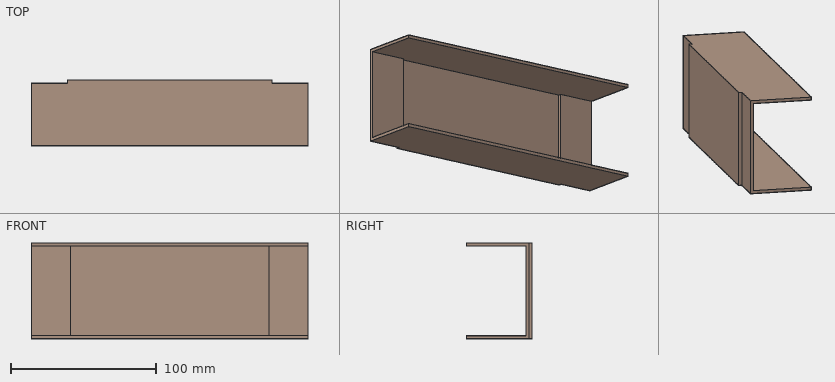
import cadquery as cq

length = 190.0
height = 65.9
overall_depth = 45.2
wall = 2.2
recess_length = 136.0

panel_length = recess_length + 2 * wall
channel_depth = overall_depth - wall
clear_height = height - 2 * wall


def block(size_x, size_z, y_start, y_end):
    """Box centred on X and Z, spanning y_start to y_end."""
    return (
        cq.Workplane("XY")
        .box(size_x, y_end - y_start, size_z, centered=(True, False, True))
        .translate((0, y_start, 0))
    )


channel = block(length, height, 0, channel_depth)
panel = block(panel_length, height, channel_depth - wall, overall_depth)

opening = block(length, clear_height, 0, channel_depth - wall)

recess = block(recess_length, clear_height, channel_depth - 2 * wall, overall_depth - wall)

result = channel.union(panel).cut(opening).cut(recess)